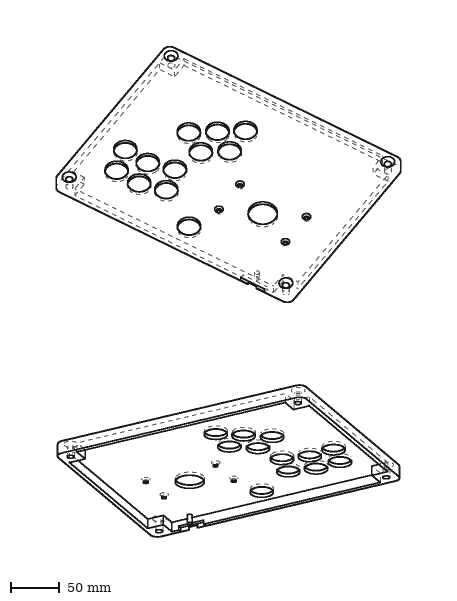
import cadquery as cq

LENGTH = 288.4
WIDTH = 217.7
HEIGHT = 14.7
CORNER_RADIUS = 8.0
TOP_FILLET = 1.7

PLATE_THICKNESS = 4.0
WALL_THICKNESS = 5.0
INNER_CORNER_RADIUS = CORNER_RADIUS - WALL_THICKNESS

CORNER_SCREW_X = 132.0
CORNER_SCREW_Y = 97.0
CORNER_HOLE_DIAMETER = 7.2
CORNER_SINK_DIAMETER = 14.0
CORNER_BLOCK_SIZE = 23.0

BUTTON_DIAMETER = 24.0
BUTTON_CENTERS = [
    (-61.7, 20.8),
    (-37.5, 37.5),
    (-13.8, 54.0),
    (-37.0, 5.0),
    (-12.7, 22.0),
    (-103.8, -34.3),
    (-75.0, -36.5),
    (-46.7, -29.0),
    (-96.3, -62.5),
    (-67.5, -64.5),
    (-39.2, -57.0),
    (7.0, -86.0),
]

JOYSTICK_X = 61.0
JOYSTICK_Y = -30.3
JOYSTICK_DIAMETER = 30.0
JOYSTICK_SCREW_SPACING_X = 81.0
JOYSTICK_SCREW_SPACING_Y = 40.0
JOYSTICK_HOLE_DIAMETER = 5.0
JOYSTICK_SINK_DIAMETER = 8.7
SINK_ANGLE = 90.0

POCKET_X = 98.5
POCKET_LENGTH = 28.8
POCKET_HEIGHT = 4.5
SKIN_THICKNESS = 0.5
CABLE_SLOT_LENGTH = 9.8
CABLE_SLOT_HEIGHT = 3.2

POST_X = 97.2
POST_DIAMETER = 5.0
POST_WALL_GAP = 3.5
POST_BOTTOM = 1.5


def make_shell():
    """Rounded tray, open below, with solid blocks in its four corners."""
    body = cq.Workplane("XY").box(LENGTH, WIDTH, HEIGHT, centered=(True, True, False))
    body = body.edges("|Z").fillet(CORNER_RADIUS)
    body = body.faces(">Z").edges().fillet(TOP_FILLET)

    inner_length = LENGTH - 2 * WALL_THICKNESS
    inner_width = WIDTH - 2 * WALL_THICKNESS
    cavity_height = HEIGHT - PLATE_THICKNESS
    cavity = cq.Workplane("XY").rect(inner_length, inner_width).extrude(cavity_height)
    cavity = cavity.edges("|Z").fillet(INNER_CORNER_RADIUS)
    corner_blocks = (
        cq.Workplane("XY")
        .rect(LENGTH, WIDTH, forConstruction=True)
        .vertices()
        .rect(2 * CORNER_BLOCK_SIZE, 2 * CORNER_BLOCK_SIZE)
        .extrude(cavity_height)
    )
    return body.cut(cavity.cut(corner_blocks))


def drill(body, centers, diameter):
    """Plain holes through the full height."""
    return body.cut(cq.Workplane("XY").pushPoints(centers).circle(diameter / 2).extrude(HEIGHT))


def drill_countersunk(body, center, spacing_x, spacing_y, hole_diameter, sink_diameter):
    """Four countersunk screw holes on a rectangle around a center."""
    return (
        body.faces(">Z")
        .workplane(origin=(center[0], center[1], HEIGHT))
        .rect(spacing_x, spacing_y, forConstruction=True)
        .vertices()
        .cskHole(hole_diameter, sink_diameter, SINK_ANGLE)
    )


def cut_front_wall(body, length, height, skin):
    """Rectangular cut in the front wall, open below and to the inside, leaving an outer skin."""
    cut_depth = WALL_THICKNESS - skin
    cutter = (
        cq.Workplane("XY")
        .center(POCKET_X, -WIDTH / 2 + skin + cut_depth / 2)
        .rect(length, cut_depth)
        .extrude(height)
    )
    return body.cut(cutter)


def add_post(body):
    """Round post from the underside of the top plate down to just above the open bottom."""
    post_y = -WIDTH / 2 + WALL_THICKNESS + POST_WALL_GAP + POST_DIAMETER / 2
    post = (
        cq.Workplane("XY", origin=(POST_X, post_y, POST_BOTTOM))
        .circle(POST_DIAMETER / 2)
        .extrude(HEIGHT - PLATE_THICKNESS - POST_BOTTOM)
    )
    return body.union(post)


result = make_shell()
result = drill(result, BUTTON_CENTERS, BUTTON_DIAMETER)
result = drill(result, [(JOYSTICK_X, JOYSTICK_Y)], JOYSTICK_DIAMETER)
result = drill_countersunk(
    result,
    (0, 0),
    2 * CORNER_SCREW_X,
    2 * CORNER_SCREW_Y,
    CORNER_HOLE_DIAMETER,
    CORNER_SINK_DIAMETER,
)
result = drill_countersunk(
    result,
    (JOYSTICK_X, JOYSTICK_Y),
    JOYSTICK_SCREW_SPACING_X,
    JOYSTICK_SCREW_SPACING_Y,
    JOYSTICK_HOLE_DIAMETER,
    JOYSTICK_SINK_DIAMETER,
)
result = cut_front_wall(result, POCKET_LENGTH, POCKET_HEIGHT, SKIN_THICKNESS)
result = cut_front_wall(result, CABLE_SLOT_LENGTH, CABLE_SLOT_HEIGHT, 0)
result = add_post(result)